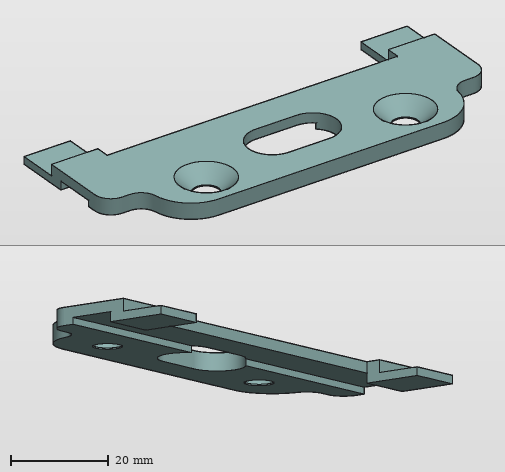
import cadquery as cq
import math

width = 41.5
length = 96.0
height = 4.5
half_length = length / 2

plate_thickness = 3.8
web_thickness = 2.4
tab_thickness = 1.8
step_x = 9.9
web_start_x = 13.2
pad_start_x = 23.1

tab_length_y = 11.6
shoulder_x = 29.5
shoulder_radius = 4.0
lobe_radius = 10.0
lobe_center_y = 28.1

hole_x = 32.4
hole_y = 25.0
hole_diameter = 6.1
sink_diameter = 13.2
sink_angle = 90
slot_x = 27.6
slot_width = 11.8
slot_length = 22.0


def plan_half(side):
    """Solid prism of the plan outline on one side of Y = 0 (side is +1 or -1)."""
    lobe_center_x = width - lobe_radius
    blend_center_x = shoulder_x + shoulder_radius
    center_distance = lobe_radius + shoulder_radius
    tangent_angle = math.acos((blend_center_x - lobe_center_x) / center_distance)
    blend_center_y = lobe_center_y + center_distance * math.sin(tangent_angle)

    def on_arc(center_x, center_y, radius, angle):
        return (
            center_x + radius * math.cos(angle),
            side * (center_y + radius * math.sin(angle)),
        )

    lobe = (lobe_center_x, lobe_center_y, lobe_radius)
    blend = (blend_center_x, blend_center_y, shoulder_radius)
    corner = (shoulder_x - shoulder_radius, half_length - shoulder_radius, shoulder_radius)
    blend_mid_angle = math.pi + tangent_angle / 2
    tab_inner_y = side * (half_length - tab_length_y)
    return (
        cq.Workplane("XY")
        .moveTo(web_start_x, 0)
        .lineTo(width, 0)
        .lineTo(width, side * lobe_center_y)
        .threePointArc(on_arc(*lobe, tangent_angle / 2), on_arc(*lobe, tangent_angle))
        .threePointArc(on_arc(*blend, blend_mid_angle), on_arc(*blend, math.pi))
        .lineTo(*on_arc(*corner, 0))
        .threePointArc(on_arc(*corner, math.pi / 4), on_arc(*corner, math.pi / 2))
        .lineTo(0, side * half_length)
        .lineTo(0, tab_inner_y)
        .lineTo(web_start_x, tab_inner_y)
        .close()
        .extrude(height)
    )


def side_profile():
    """Stepped cross-section in XZ, extended over the full length."""
    pad_z = height - plate_thickness
    web_z = height - web_thickness
    return (
        cq.Workplane("XZ")
        .polyline([
            (0, 0),
            (web_start_x, 0),
            (web_start_x, web_z),
            (pad_start_x, web_z),
            (pad_start_x, pad_z),
            (width, pad_z),
            (width, height),
            (step_x, height),
            (step_x, tab_thickness),
            (0, tab_thickness),
        ])
        .close()
        .extrude(half_length, both=True)
    )


plan = plan_half(1).union(plan_half(-1))
body = plan.intersect(side_profile())

top_plane = cq.Workplane("XY", origin=(0, 0, height))
body = (
    body.copyWorkplane(top_plane)
    .pushPoints([(hole_x, hole_y), (hole_x, -hole_y)])
    .cskHole(hole_diameter, sink_diameter, sink_angle)
)
slot = top_plane.center(slot_x, 0).slot2D(slot_length, slot_width, 90).extrude(-height)

result = body.cut(slot)